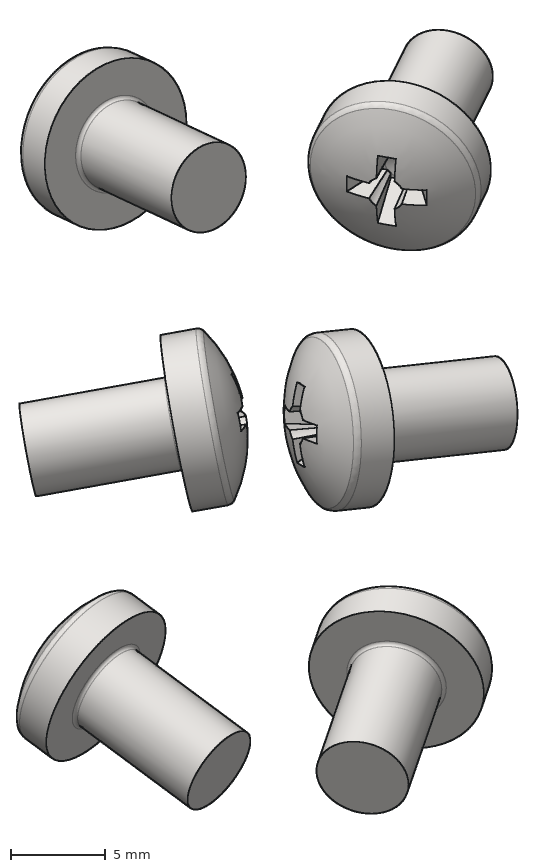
import cadquery as cq
import math

head_diameter = 9.5
head_height = 3.7
dome_radius = 8.0
rim_fillet = 0.45
shank_diameter = 5.0
shank_length = 8.0
neck_fillet = 0.2

wing_width = 1.0
wing_tip_radius = 2.21
wing_floor_radius = 0.97
wing_wall_angle = 26.5
core_top_radius = 1.03
core_floor_radius = 0.85
core_tip_angle = 18.0


def dome_x(radius):
    """X of the dome surface at a distance from the axis (the head faces -X)."""
    return dome_radius - head_height - math.sqrt(dome_radius**2 - radius**2)


wing_mouth_x = dome_x(wing_tip_radius)
wing_slope = math.tan(math.radians(wing_wall_angle))
recess_floor_x = wing_mouth_x + (wing_tip_radius - wing_floor_radius) / wing_slope


def revolve_about_x(profile):
    """Close a half profile in the XY plane and turn it into a solid of revolution."""
    return profile.close().revolve(360, (0, 0, 0), (1, 0, 0))


def make_head():
    """Domed head with the rim rounded where the dome meets the side."""
    rim_radius = head_diameter / 2
    mid_radius = rim_radius / 2
    profile = (
        cq.Workplane("XY")
        .moveTo(-head_height, 0)
        .threePointArc((dome_x(mid_radius), mid_radius), (dome_x(rim_radius), rim_radius))
        .lineTo(0, rim_radius)
        .lineTo(0, 0)
    )
    return revolve_about_x(profile).faces("<X").edges(">X").fillet(rim_fillet)


def make_shank():
    """Cylindrical shank with a concave fillet against the head underside."""
    radius = shank_diameter / 2
    fillet_mid = neck_fillet * (1 - math.sqrt(0.5))
    profile = (
        cq.Workplane("XY")
        .lineTo(0, radius + neck_fillet)
        .threePointArc((fillet_mid, radius + fillet_mid), (neck_fillet, radius))
        .lineTo(shank_length, radius)
        .lineTo(shank_length, 0)
    )
    return revolve_about_x(profile)


def make_wing_pair():
    """Two opposite wings: a slab along Y with sloping ends, reaching past the dome."""
    mouth_x = -head_height
    mouth_radius = wing_tip_radius + (wing_mouth_x - mouth_x) * wing_slope
    return (
        cq.Workplane("XY")
        .polyline([
            (mouth_x, -mouth_radius),
            (mouth_x, mouth_radius),
            (recess_floor_x, wing_floor_radius),
            (recess_floor_x, -wing_floor_radius),
        ])
        .close()
        .extrude(wing_width / 2, both=True)
    )


def make_core():
    """Tapered round core with a conical bottom, reaching past the dome."""
    core_mouth_x = dome_x(core_top_radius)
    taper = (core_top_radius - core_floor_radius) / (recess_floor_x - core_mouth_x)
    mouth_radius = core_top_radius + (core_mouth_x + head_height) * taper
    tip_x = recess_floor_x + core_floor_radius * math.tan(math.radians(core_tip_angle))
    profile = (
        cq.Workplane("XY")
        .moveTo(-head_height, 0)
        .lineTo(-head_height, mouth_radius)
        .lineTo(recess_floor_x, core_floor_radius)
        .lineTo(tip_x, 0)
    )
    return revolve_about_x(profile)


wings = make_wing_pair()
recess = wings.union(wings.rotate((0, 0, 0), (1, 0, 0), 90)).union(make_core())
result = make_head().union(make_shank()).cut(recess)